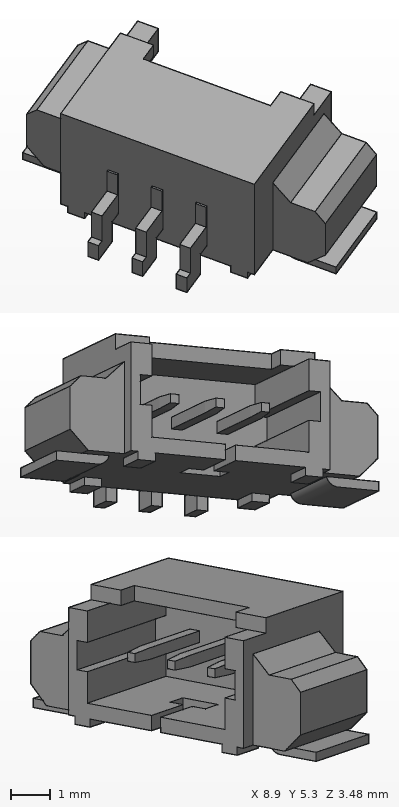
import cadquery as cq


OVERALL_WIDTH = 8.9
BODY_WIDTH = 5.5
BODY_DEPTH = 4.2
BODY_HEIGHT = 3.2
FRONT_WALL = 0.89
FLOOR = 0.4
ROOF = 0.4
SIDE_WALL = 0.59
REAR_STEP = 0.94
ROOF_NOTCH_WIDTH = 3.61
ROOF_NOTCH_DEPTH = 1.5

CAVITY_TOP = BODY_HEIGHT - ROOF
CAVITY_WIDTH = BODY_WIDTH - 2 * SIDE_WALL
CAVITY_MID = (FLOOR + CAVITY_TOP) / 2

GROOVE_WALL = 0.27
GROOVE_HEIGHT = 0.765

SLOT_WIDTH = 0.285
SLOT_HEAD_WIDTH = 1.1
SLOT_HEAD_LENGTH = 0.53
SLOT_NECK_LENGTH = 1.335

WING_REACH = 4.245
WING_REAR_GAP = 0.4
WING_LENGTH = 2.795
WING_TOP = 1.905
WING_ROOT_TOP = 2.38
WING_ROOT_RUN = 0.51
WING_UPPER_CHAMFER = 0.29
WING_LOWER_CHAMFER = 0.5

FOOT_OUTER = 2.55
FOOT_WIDTH = 0.48
FOOT_LENGTH = 0.89
FOOT_HEIGHT = 0.21

TAB_INNER = 3.0
TAB_THICKNESS = 0.24
TAB_LENGTH = 2.225
TAB_REAR_GAP = 0.78
TAB_BEND_RADIUS = 0.33

PIN_COUNT = 3
PIN_PITCH = 1.255
PIN_WIDTH = 0.3
PIN_TIP_WIDTH = 0.23
PIN_REAR_GAP = 0.64
PIN_TAPER = 0.59
PIN_PLATE_TOP = 1.825
PIN_PLATE_PROUD = 0.05
PIN_ARM_TOP = 1.12
PIN_ARM_BOTTOM = 0.43
PIN_LEG_INNER = 0.35
PIN_LEG_OUTER = 0.91
PIN_TOE_REACH = 1.1
PIN_TOE_TOP = 0.24
PIN_DROP = 0.28


def box(x, y, z):
    """Box filling the given (low, high) ranges."""
    size = (x[1] - x[0], y[1] - y[0], z[1] - z[0])
    return cq.Workplane("XY").box(*size, centered=False).translate((x[0], y[0], z[0]))


def centred_box(width, y, z):
    """Box of the given width, centred on the symmetry plane."""
    return box((-width / 2, width / 2), y, z)


def both_sides(shape):
    """The shape together with its mirror image in the symmetry plane."""
    return shape.union(shape.mirror("YZ"))


def make_housing():
    body = centred_box(BODY_WIDTH, (0, BODY_DEPTH), (0, BODY_HEIGHT))
    step = centred_box(BODY_WIDTH, (BODY_DEPTH - REAR_STEP, BODY_DEPTH), (CAVITY_TOP, BODY_HEIGHT))
    notch = centred_box(
        ROOF_NOTCH_WIDTH, (BODY_DEPTH - ROOF_NOTCH_DEPTH, BODY_DEPTH), (CAVITY_TOP, BODY_HEIGHT)
    )
    cavity = centred_box(CAVITY_WIDTH, (FRONT_WALL, BODY_DEPTH), (FLOOR, CAVITY_TOP))
    grooves = centred_box(
        BODY_WIDTH - 2 * GROOVE_WALL,
        (FRONT_WALL, BODY_DEPTH),
        (CAVITY_MID - GROOVE_HEIGHT / 2, CAVITY_MID + GROOVE_HEIGHT / 2),
    )
    return body.cut(step).cut(notch).cut(cavity).cut(grooves).cut(make_floor_slot())


def make_floor_slot():
    head_rear = BODY_DEPTH - SLOT_NECK_LENGTH
    head_front = head_rear - SLOT_HEAD_LENGTH
    neck = centred_box(SLOT_WIDTH, (head_rear, BODY_DEPTH), (0, FLOOR))
    head = centred_box(SLOT_HEAD_WIDTH, (head_front, head_rear), (0, FLOOR))
    return neck.union(head)


def make_wing():
    root = BODY_WIDTH / 2
    outline = [
        (root, 0),
        (WING_REACH - WING_LOWER_CHAMFER, 0),
        (WING_REACH, WING_LOWER_CHAMFER),
        (WING_REACH, WING_TOP - WING_UPPER_CHAMFER),
        (WING_REACH - WING_UPPER_CHAMFER, WING_TOP),
        (root + WING_ROOT_RUN, WING_TOP),
        (root, WING_ROOT_TOP),
    ]
    rear = BODY_DEPTH - WING_REAR_GAP
    return cq.Workplane("XZ", origin=(0, rear, 0)).polyline(outline).close().extrude(WING_LENGTH)


def make_feet():
    x = (FOOT_OUTER - FOOT_WIDTH, FOOT_OUTER)
    z = (-FOOT_HEIGHT, 0)
    front = box(x, (0, FOOT_LENGTH), z)
    rear = box(x, (BODY_DEPTH - FOOT_LENGTH, BODY_DEPTH), z)
    return front.union(rear)


def make_solder_tab():
    """Flat tab whose inner lower edge follows the outside of the sheet's bend."""
    outer = OVERALL_WIDTH / 2
    bend_height = TAB_BEND_RADIUS - TAB_THICKNESS
    bend_centre = TAB_INNER + (TAB_BEND_RADIUS**2 - bend_height**2) ** 0.5
    rear = BODY_DEPTH - TAB_REAR_GAP
    return (
        cq.Workplane("XZ", origin=(0, rear, 0))
        .moveTo(TAB_INNER, 0)
        .lineTo(outer, 0)
        .lineTo(outer, -TAB_THICKNESS)
        .lineTo(bend_centre, -TAB_THICKNESS)
        .radiusArc((TAB_INNER, 0), TAB_BEND_RADIUS)
        .close()
        .extrude(TAB_LENGTH)
    )


def make_pin():
    """One contact on X = 0: bent leg, plate in the front wall and a tapered square pin."""
    outline = [
        (FRONT_WALL, PIN_PLATE_TOP),
        (-PIN_PLATE_PROUD, PIN_PLATE_TOP),
        (-PIN_PLATE_PROUD, PIN_ARM_TOP),
        (-PIN_LEG_OUTER, PIN_ARM_TOP),
        (-PIN_LEG_OUTER, PIN_TOE_TOP),
        (-PIN_TOE_REACH, PIN_TOE_TOP),
        (-PIN_TOE_REACH, -PIN_DROP),
        (-PIN_LEG_INNER, -PIN_DROP),
        (-PIN_LEG_INNER, PIN_ARM_BOTTOM),
        (FRONT_WALL, PIN_ARM_BOTTOM),
    ]
    leg = cq.Workplane("YZ").polyline(outline).close().extrude(PIN_WIDTH / 2, both=True)

    tip = BODY_DEPTH - PIN_REAR_GAP
    taper_start = tip - PIN_TAPER
    z = (CAVITY_MID - PIN_WIDTH / 2, CAVITY_MID + PIN_WIDTH / 2)
    shaft = centred_box(PIN_WIDTH, (FRONT_WALL, taper_start), z)
    point = (
        cq.Workplane("XZ", origin=(0, tip, CAVITY_MID))
        .rect(PIN_TIP_WIDTH, PIN_TIP_WIDTH)
        .workplane(offset=PIN_TAPER)
        .rect(PIN_WIDTH, PIN_WIDTH)
        .loft(combine=True)
    )
    return leg.union(shaft).union(point)


result = make_housing()
for side_feature in (make_wing(), make_feet(), make_solder_tab()):
    result = result.union(both_sides(side_feature))

for index in range(PIN_COUNT):
    pin_x = (index - (PIN_COUNT - 1) / 2) * PIN_PITCH
    result = result.union(make_pin().translate((pin_x, 0, 0)))